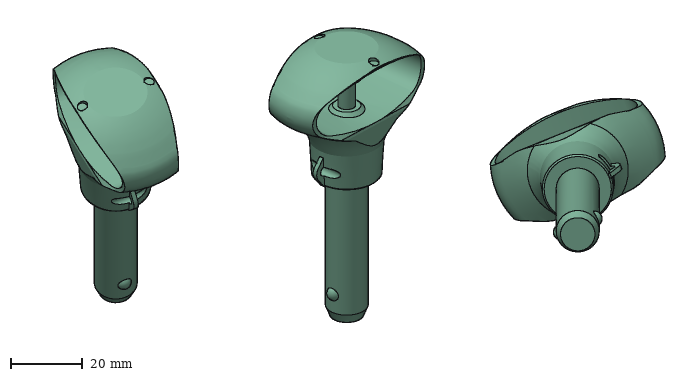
import cadquery as cq
import math

total_height = 86.1
total_width = 49.0
handle_radius = total_width / 2
overlap = 0.9

shank_radius = 6.0
tip_radius = 4.8
tip_height = 3.1
ball_radius = 2.15
ball_reach = 7.2
ball_z = 8.9

body_bottom_z = 45.55
body_bottom_radius = 9.9
body_edge = 0.5
body_top_z = 56.9
body_top_radius = 10.5
flare_middle = (12.0, 60.7)
flare_top = (14.1, 64.0)
rim_lower = (21.35, 68.6)
rim_middle_z = 74.05
rim_upper = (21.9, 79.0)
crown_middle = (15.5, 83.4)
crown_radius = 8.95

flat_half_width = 11.3
flat_top_z = 65.5
ledge = (11.0, 66.4)
waist_half_width = 8.35
scoop_lower = (9.3, 68.7)
scoop_upper = (9.7, 79.6)
scoop_top = (12.4, 84.5)

opening_top_z = 84.0
opening_bottom_z = 66.3
opening_point_x = 28.85
opening_point_z = 72.75
opening_end_radius = 6.2

spindle_radius = 2.5
button_top_radius = 5.2
button_bottom_radius = 4.1
button_bottom_z = 76.3
button_edge = 0.3
collar_bottom_radius = 5.2
collar_top_radius = 4.0
collar_top_z = 67.5

tab_x = 10.0
tab_z = 50.6
tab_radius = 3.1
tab_arc_offset = tab_radius * math.sqrt(0.5)
tab_hole_radius = 1.5
tab_thickness = 1.4
tab_root_x = 7.75
tab_root_half_height = 5.0

mark_radius = 1.5
mark_y = 10.3
mark_floor_z = 85.1


def mirrored(point):
    return (-point[0], point[1])


def turned(profile):
    return profile.close().revolve(360, (0, 0, 0), (0, 1, 0))


def cone(bottom_radius, bottom_z, top_radius, top_z):
    profile = (
        cq.Workplane("XZ")
        .moveTo(0, bottom_z)
        .lineTo(bottom_radius, bottom_z)
        .lineTo(top_radius, top_z)
        .lineTo(0, top_z)
    )
    return turned(profile)


def make_turned_handle():
    profile = (
        cq.Workplane("XZ")
        .moveTo(0, body_bottom_z)
        .lineTo(body_bottom_radius - body_edge, body_bottom_z)
        .lineTo(body_bottom_radius, body_bottom_z + body_edge)
        .lineTo(body_top_radius, body_top_z)
        .threePointArc(flare_middle, flare_top)
        .lineTo(*rim_lower)
        .threePointArc((handle_radius, rim_middle_z), rim_upper)
        .threePointArc(crown_middle, (crown_radius, total_height))
        .lineTo(0, total_height)
    )
    return turned(profile).rotate((0, 0, 0), (0, 0, 1), 180)


def make_side_envelope():
    """Solid along X whose waisted outline scoops the front and back of the handle."""
    outline = (
        cq.Workplane("YZ")
        .moveTo(-flat_half_width, body_bottom_z)
        .lineTo(flat_half_width, body_bottom_z)
        .lineTo(flat_half_width, flat_top_z)
        .lineTo(*ledge)
        .lineTo(*scoop_lower)
        .threePointArc((waist_half_width, rim_middle_z), scoop_upper)
        .lineTo(*scoop_top)
        .lineTo(scoop_top[0], total_height)
        .lineTo(-scoop_top[0], total_height)
        .lineTo(*mirrored(scoop_top))
        .lineTo(*mirrored(scoop_upper))
        .threePointArc((-waist_half_width, rim_middle_z), mirrored(scoop_lower))
        .lineTo(*mirrored(ledge))
        .lineTo(-flat_half_width, flat_top_z)
        .close()
    )
    return outline.extrude(handle_radius, both=True)


def make_opening():
    """Lens of two shallow arcs whose pointed ends are rounded."""
    outline = (
        cq.Workplane("XZ")
        .moveTo(-opening_point_x, opening_point_z)
        .threePointArc((0, opening_top_z), (opening_point_x, opening_point_z))
        .threePointArc((0, opening_bottom_z), (-opening_point_x, opening_point_z))
        .close()
    )
    return outline.extrude(handle_radius, both=True).edges("|Y").fillet(opening_end_radius)


def make_button():
    spindle = cone(spindle_radius, opening_bottom_z - overlap, spindle_radius, opening_top_z)
    button = cone(button_bottom_radius, button_bottom_z, button_top_radius, opening_top_z)
    button = button.faces("<Z").edges().chamfer(button_edge)
    collar = cone(collar_bottom_radius, opening_bottom_z, collar_top_radius, collar_top_z)
    return spindle.union(button).union(collar)


def make_shank():
    shank = cone(tip_radius, 0, shank_radius, tip_height)
    shank = shank.union(cone(shank_radius, tip_height, shank_radius, body_bottom_z + overlap))
    for side in (-1, 1):
        ball_x = side * (ball_reach - ball_radius)
        shank = shank.union(cq.Workplane("XY").sphere(ball_radius).translate((ball_x, 0, ball_z)))
    return shank


def make_tab():
    return (
        cq.Workplane("XZ")
        .moveTo(tab_root_x, tab_z - tab_root_half_height)
        .lineTo(tab_x, tab_z - tab_root_half_height)
        .lineTo(tab_x + tab_arc_offset, tab_z - tab_arc_offset)
        .threePointArc(
            (tab_x + tab_radius, tab_z),
            (tab_x + tab_arc_offset, tab_z + tab_arc_offset),
        )
        .lineTo(tab_x, tab_z + tab_root_half_height)
        .lineTo(tab_root_x, tab_z + tab_root_half_height)
        .close()
        .extrude(tab_thickness / 2, both=True)
    )


def make_tab_hole():
    return (
        cq.Workplane("XZ")
        .center(tab_x, tab_z)
        .circle(tab_hole_radius)
        .extrude(handle_radius, both=True)
    )


def make_crown_marks():
    return (
        cq.Workplane("XY", origin=(0, 0, mark_floor_z))
        .pushPoints([(0, -mark_y), (0, mark_y)])
        .circle(mark_radius)
        .extrude(total_height - mark_floor_z)
    )


handle = make_turned_handle().intersect(make_side_envelope()).cut(make_opening())
result = handle.union(make_button()).union(make_shank()).union(make_tab())
result = result.cut(make_tab_hole()).cut(make_crown_marks())